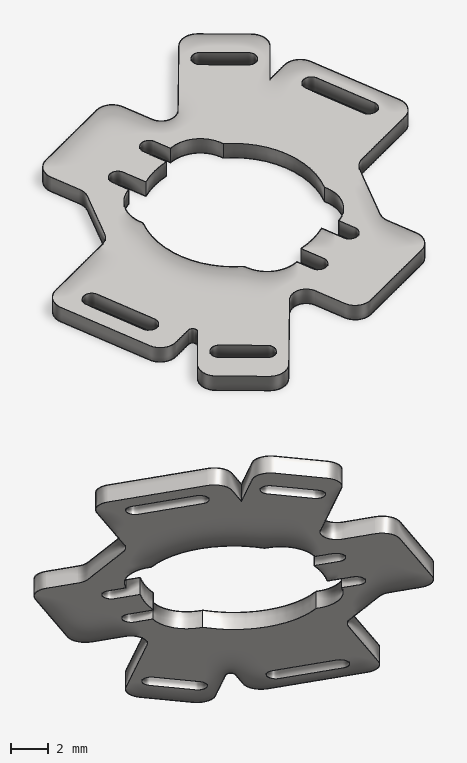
import cadquery as cq
import math

thickness = 1.0
corner_radius = 1.0
cross_length = 20.57
cross_width = 6.87

arm_length = 23.93
arm_width = 7.63
arm_offset = -0.22
web_corner_x = 7.1
web_angle = 40.0
web_fillet = 1.0

tab_tilt = 33.0
tab_width = 4.83
tab_slot_x = -6.96
tab_slot_y = 9.64
tab_end_margin = 2.0
tab_root_fillet = 0.88
notch_fillet = 0.27

slot_width = 1.0
arm_slot_length = 4.63
arm_slot_y = 10.52
tab_slot_length = 3.5
side_slot_reach = 6.85
side_slot_y = 1.5

bore_radius = 5.0
lobe_radius = 1.95
lobe_x = 3.35
lobe_y = 1.9


def half_turn(body):
    return body.rotate((0, 0, 0), (0, 0, 1), 180)


def rounded_plate(length, width):
    plate = cq.Workplane("XY").rect(length, width).extrude(thickness)
    return plate.edges("|Z").fillet(corner_radius)


def slot(length, x, y, angle=0):
    cutter = cq.Workplane("XY").slot2D(length, slot_width).extrude(thickness)
    return cutter.rotate((0, 0, 0), (0, 0, 1), angle).translate((x, y, 0))


def web_height(arm_edge):
    """Height above the plate centreline at which the web meets an upright arm."""
    rise = (web_corner_x - arm_edge) * math.tan(math.radians(web_angle))
    return cross_width / 2 + rise


def web(arm_edge):
    """Sloping web filling the corner between the cross arm and an upright arm."""
    top = web_height(arm_edge)
    outline = [(0, 0), (web_corner_x, 0), (web_corner_x, cross_width / 2), (arm_edge, top), (0, top)]
    return cq.Workplane("XY").polyline(outline).close().extrude(thickness)


def tilted_tab():
    """Tab from the plate centre region to its rounded outer end, on the upper left."""
    tab_length = math.hypot(tab_slot_x, tab_slot_y)
    tab = (
        cq.Workplane("XY")
        .center(0, tab_end_margin - tab_length / 2)
        .rect(tab_width, tab_length)
        .extrude(thickness)
        .edges("|Z and >Y")
        .fillet(corner_radius)
    )
    return tab.rotate((0, 0, 0), (0, 0, 1), tab_tilt).translate((tab_slot_x, tab_slot_y, 0))


def fillet_near(body, x, y, radius):
    """Round the upright edge closest to the point (x, y)."""
    corner = cq.selectors.NearestToPointSelector((x, y, thickness / 2))
    return body.edges("|Z").edges(corner).fillet(radius)


arm_right = arm_offset + arm_width / 2
arm_left = arm_offset - arm_width / 2
upper_tab = tilted_tab()
result = (
    rounded_plate(cross_length, cross_width)
    .union(rounded_plate(arm_width, arm_length).translate((arm_offset, 0, 0)))
    .union(web(arm_right))
    .union(half_turn(web(-arm_left)))
    .union(upper_tab)
    .union(half_turn(upper_tab))
    .clean()
)

for edge_x, side in ((arm_right, 1), (arm_left, -1)):
    result = fillet_near(result, edge_x, side * web_height(abs(edge_x)), web_fillet)
    result = fillet_near(result, side * web_corner_x, side * cross_width / 2, web_fillet)

tilt = math.radians(tab_tilt)
edge_shift = tab_width / 2 / math.cos(tilt)
root_y = cross_width / 2
root_x = tab_slot_x - edge_shift + (tab_slot_y - root_y) * math.tan(tilt)
for side in (1, -1):
    result = fillet_near(result, side * root_x, side * root_y, tab_root_fillet)

notch_y = -tab_slot_y + (-tab_slot_x - edge_shift - arm_right) / math.tan(tilt)
result = fillet_near(result, arm_right, notch_y, notch_fillet)

opening = cq.Workplane("XY").circle(bore_radius).extrude(thickness)
lobes = (
    cq.Workplane("XY")
    .rect(2 * lobe_x, 2 * lobe_y, forConstruction=True)
    .vertices()
    .circle(lobe_radius)
    .extrude(thickness)
)
between_slots = cq.Workplane("XY").rect(cross_length, 2 * side_slot_y).extrude(thickness)
result = result.cut(opening).cut(lobes.cut(between_slots))

for side in (1, -1):
    result = result.cut(slot(2 * side_slot_reach, 0, side * side_slot_y))
    result = result.cut(slot(arm_slot_length, arm_offset, side * arm_slot_y))
    result = result.cut(slot(tab_slot_length, side * tab_slot_x, side * tab_slot_y, tab_tilt))